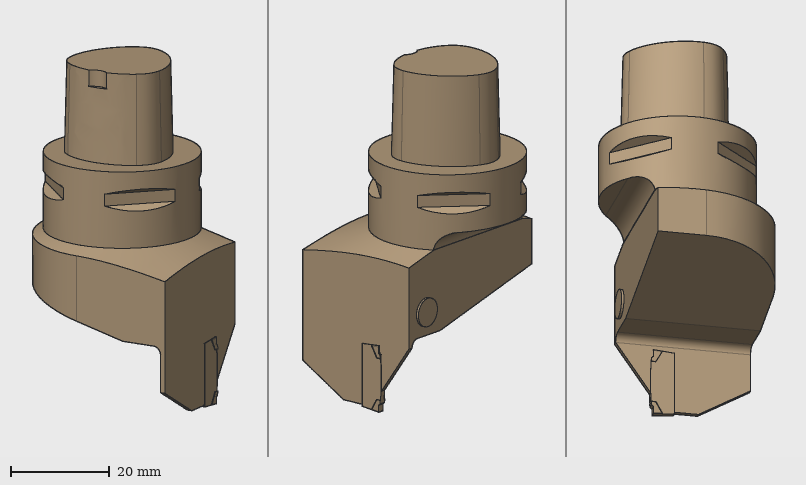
import cadquery as cq
import math


SHANK_WIDTH = 22.0
SHANK_HEIGHT = 19.0
SHANK_TAPER = 1 / 20
LOBE_OFFSET = 0.7
SEAM_ANGLE = 35.0
KEYWAY_RADIUS = 3.0
KEYWAY_DEPTH = 3.4
KEYWAY_FLOOR_Y = -8.9

FLANGE_RADIUS = 16.0
FLANGE_HEIGHT = 16.0
GRIP_Z = -6.0
GRIP_FLAT_DISTANCE = 14.2
GRIP_FLAT_HEIGHT = 2.5
GRIP_FLANK_ANGLE = 30.0
GRIP_COUNT = 4

HEAD_LEFT = -17.0
HEAD_RIGHT = 21.75
HEAD_FRONT = -20.0
HEAD_BACK = 8.0
HEAD_CORNER_RADIUS = 18.0
HEAD_TOP_ANGLE = 15.0
UNDERSIDE_LEFT_Z = -26.3
UNDERSIDE_ANGLE = 14.0
UNDERSIDE_Z = -33.5

RELIEF_RIM_Z = -12.0
RELIEF_SLANT = 4.0
RELIEF_RADIUS = 4.45
RELIEF_CENTRE_Y = 12.3

BLADE_THICKNESS = 1.05
BLADE_ROOT_RADIUS = 1.6
BLADE_BOTTOM_Z = -49.25
BLADE_BACK_ANGLE = 35.0
BLADE_FRONT_ANGLE = 30.0
BLADE_FRONT_FOOT_Y = -9.2

PLUG_RADIUS = 3.0
PLUG_X = 16.35
PLUG_Z = -28.5
PLUG_HEIGHT = 0.5

INSERT_RIGHT = 22.03
CUTTING_WIDTH = 1.5
INSERT_SIDE_RELIEF = 0.16
INSERT_BOTTOM_Z = -50.0
INSERT_LENGTH = 14.1
INSERT_HEEL_Y = -4.2
CUTTING_EDGE_Y = 0.2
INSERT_CLEARANCE_ANGLE = 5.0
RAKE_LAND = 1.5
RAKE_STEP = 0.4
RAKE_CROWN = 0.2
TIP_RADIUS = 0.2
END_INNER = 4.4
END_BEND_Y = -0.3
END_OUTER_Y = -1.8
INSERT_MID_Z = INSERT_BOTTOM_Z + INSERT_LENGTH / 2


def rise(run, angle):
    return run * math.tan(math.radians(angle))


def lobed_point(width, angle):
    """Point of the constant-width section, the angle running from the lobe on +Y."""
    a = math.radians(angle)
    along = width / 2 * math.cos(a) + 2 * LOBE_OFFSET * math.cos(2 * a) - LOBE_OFFSET * math.cos(4 * a)
    across = width / 2 * math.sin(a) - 2 * LOBE_OFFSET * math.sin(2 * a) - LOBE_OFFSET * math.sin(4 * a)
    return across, along


def lobed_wire(width, z):
    """Lobed section at height z, as six curves that meet at the seams."""
    seams = []
    for flat_middle in (60, 180, 300):
        seams += [flat_middle - SEAM_ANGLE, flat_middle + SEAM_ANGLE]
    seams.append(seams[0] + 360)
    section = cq.Workplane("XY").workplane(offset=z)
    edges = []
    for start, end in zip(seams, seams[1:]):
        curve = section.parametricCurve(lambda a: lobed_point(width, a), start=start, stop=end)
        edges += curve.val().Edges()
    return cq.Wire.assembleEdges(edges)


def make_shank():
    top_width = SHANK_WIDTH - SHANK_HEIGHT * SHANK_TAPER
    sections = [lobed_wire(SHANK_WIDTH, 0), lobed_wire(top_width, SHANK_HEIGHT)]
    shank = cq.Workplane(cq.Solid.makeLoft(sections, True))
    keyway = (
        cq.Workplane("XY", origin=(0, KEYWAY_FLOOR_Y - KEYWAY_RADIUS, SHANK_HEIGHT - KEYWAY_DEPTH))
        .circle(KEYWAY_RADIUS)
        .extrude(KEYWAY_DEPTH)
    )
    return shank.cut(keyway)


def make_flange():
    flange = cq.Workplane("XY").circle(FLANGE_RADIUS).extrude(-FLANGE_HEIGHT)
    depth = FLANGE_RADIUS - GRIP_FLAT_DISTANCE
    floor_half = GRIP_FLAT_HEIGHT / 2
    mouth_half = floor_half + rise(depth, GRIP_FLANK_ANGLE)
    notch = (
        cq.Workplane("XZ")
        .moveTo(GRIP_FLAT_DISTANCE, GRIP_Z - floor_half)
        .lineTo(FLANGE_RADIUS, GRIP_Z - mouth_half)
        .lineTo(FLANGE_RADIUS, GRIP_Z + mouth_half)
        .lineTo(GRIP_FLAT_DISTANCE, GRIP_Z + floor_half)
        .close()
        .extrude(FLANGE_RADIUS, both=True)
    )
    for i in range(GRIP_COUNT):
        angle = (i + 0.5) * 360 / GRIP_COUNT
        flange = flange.cut(notch.rotate((0, 0, 0), (0, 0, 1), angle))
    return flange


def make_head():
    """Head and blade: the common part of a plan, two side outlines and a cone."""
    plan = (
        cq.Workplane("XY")
        .moveTo(HEAD_RIGHT, HEAD_BACK)
        .lineTo(HEAD_LEFT, HEAD_BACK)
        .lineTo(HEAD_LEFT, HEAD_FRONT + HEAD_CORNER_RADIUS)
        .radiusArc((HEAD_LEFT + HEAD_CORNER_RADIUS, HEAD_FRONT), -HEAD_CORNER_RADIUS)
        .lineTo(HEAD_RIGHT, HEAD_FRONT)
        .close()
        .extrude(BLADE_BOTTOM_Z)
    )

    blade_left = HEAD_RIGHT - BLADE_THICKNESS
    slope_run = (UNDERSIDE_LEFT_Z - UNDERSIDE_Z) / rise(1, UNDERSIDE_ANGLE)
    root_z = UNDERSIDE_Z - BLADE_ROOT_RADIUS
    front_outline = (
        cq.Workplane("XZ", origin=(0, HEAD_BACK, 0))
        .moveTo(HEAD_RIGHT, 0)
        .lineTo(HEAD_LEFT, 0)
        .lineTo(HEAD_LEFT, UNDERSIDE_LEFT_Z)
        .lineTo(HEAD_LEFT + slope_run, UNDERSIDE_Z)
        .lineTo(blade_left - BLADE_ROOT_RADIUS, UNDERSIDE_Z)
        .radiusArc((blade_left, root_z), BLADE_ROOT_RADIUS)
        .lineTo(blade_left, BLADE_BOTTOM_Z)
        .lineTo(HEAD_RIGHT, BLADE_BOTTOM_Z)
        .close()
        .extrude(HEAD_BACK - HEAD_FRONT)
    )

    back_foot_y = HEAD_BACK - rise(root_z - BLADE_BOTTOM_Z, BLADE_BACK_ANGLE)
    front_corner_z = BLADE_BOTTOM_Z + rise(BLADE_FRONT_FOOT_Y - HEAD_FRONT, BLADE_FRONT_ANGLE)
    side_outline = (
        cq.Workplane("YZ", origin=(HEAD_LEFT, 0, 0))
        .moveTo(HEAD_FRONT, 0)
        .lineTo(HEAD_BACK, 0)
        .lineTo(HEAD_BACK, root_z)
        .lineTo(back_foot_y, BLADE_BOTTOM_Z)
        .lineTo(BLADE_FRONT_FOOT_Y, BLADE_BOTTOM_Z)
        .lineTo(HEAD_FRONT, front_corner_z)
        .close()
        .extrude(HEAD_RIGHT - HEAD_LEFT)
    )

    reach = math.hypot(HEAD_RIGHT, HEAD_FRONT) + 1
    cone_tip_z = rise(FLANGE_RADIUS, HEAD_TOP_ANGLE) - FLANGE_HEIGHT
    cone = (
        cq.Workplane("XZ")
        .moveTo(0, cone_tip_z)
        .lineTo(reach, cone_tip_z - rise(reach, HEAD_TOP_ANGLE))
        .lineTo(reach, BLADE_BOTTOM_Z)
        .lineTo(0, BLADE_BOTTOM_Z)
        .close()
        .revolve(360, (0, 0, 0), (0, 1, 0))
    )
    return plan.intersect(front_outline).intersect(side_outline).intersect(cone)


def make_relief():
    """Space below the back of the flange: a slanting roof that runs into a rounded inner edge."""
    slant = math.radians(RELIEF_SLANT)
    roof_end_y = RELIEF_CENTRE_Y + RELIEF_RADIUS * math.sin(slant)
    roof_end_z = RELIEF_RIM_Z - rise(FLANGE_RADIUS - roof_end_y, RELIEF_SLANT)
    centre_z = roof_end_z - RELIEF_RADIUS * math.cos(slant)
    floor_z = -FLANGE_HEIGHT
    arc_end_y = RELIEF_CENTRE_Y - math.sqrt(RELIEF_RADIUS**2 - (floor_z - centre_z) ** 2)
    return (
        cq.Workplane("YZ")
        .moveTo(FLANGE_RADIUS, RELIEF_RIM_Z)
        .lineTo(roof_end_y, roof_end_z)
        .radiusArc((arc_end_y, floor_z), -RELIEF_RADIUS)
        .lineTo(FLANGE_RADIUS, floor_z)
        .close()
        .extrude(FLANGE_RADIUS, both=True)
    )


def make_plug():
    return (
        cq.Workplane("XZ", origin=(PLUG_X, HEAD_BACK, PLUG_Z))
        .circle(PLUG_RADIUS)
        .extrude(-PLUG_HEIGHT)
    )


def insert_outline(thickness, right):
    """Full side outline of the insert, with its right side at the given X."""
    tip = INSERT_LENGTH / 2
    heel = tip - rise(CUTTING_EDGE_Y - INSERT_HEEL_Y, INSERT_CLEARANCE_ANGLE)
    land_end = tip - RAKE_LAND
    step_end = land_end - RAKE_STEP
    face_y = CUTTING_EDGE_Y + RAKE_STEP
    return (
        cq.Workplane("YZ", origin=(right - thickness, 0, INSERT_MID_Z))
        .moveTo(INSERT_HEEL_Y, heel)
        .lineTo(CUTTING_EDGE_Y, tip)
        .lineTo(CUTTING_EDGE_Y, land_end)
        .lineTo(face_y, step_end)
        .threePointArc((face_y + RAKE_CROWN, 0), (face_y, -step_end))
        .lineTo(CUTTING_EDGE_Y, -land_end)
        .lineTo(CUTTING_EDGE_Y, -tip)
        .lineTo(INSERT_HEEL_Y, -heel)
        .close()
        .extrude(thickness)
    )


def make_insert():
    waist_thickness = CUTTING_WIDTH - 2 * INSERT_SIDE_RELIEF
    insert = insert_outline(waist_thickness, INSERT_RIGHT - INSERT_SIDE_RELIEF)
    tip = INSERT_LENGTH / 2
    front_y = CUTTING_EDGE_Y + RAKE_STEP + RAKE_CROWN
    for side in (1, -1):
        end_zone = (
            cq.Workplane("YZ", origin=(INSERT_RIGHT - CUTTING_WIDTH, 0, INSERT_MID_Z))
            .moveTo(front_y, side * END_INNER)
            .lineTo(END_BEND_Y, side * END_INNER)
            .lineTo(END_OUTER_Y, side * tip)
            .lineTo(front_y, side * tip)
            .close()
            .extrude(CUTTING_WIDTH)
        )
        cutting_end = insert_outline(CUTTING_WIDTH, INSERT_RIGHT).intersect(end_zone)
        tip_face = cutting_end.faces(">Z" if side > 0 else "<Z")
        cutting_end = tip_face.edges("<X or >X").fillet(TIP_RADIUS)
        insert = insert.union(cutting_end)
    return insert


def make_holder(insert):
    """The one-piece holder, with a through pocket that the insert fills."""
    body = make_flange().union(make_head()).cut(make_relief())
    return body.union(make_shank()).union(make_plug()).cut(insert)


insert = make_insert()
holder = make_holder(insert)
result = cq.Compound.makeCompound([holder.solids().val(), insert.solids().val()])